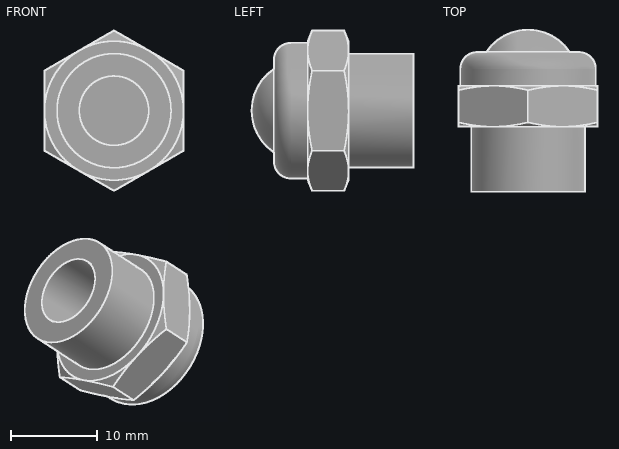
import cadquery as cq
import math

total_length = 18.68
spigot_diameter = 13.15
bore_diameter = 8.0
hex_across_flats = 16.0
hex_start = 7.5
hex_end = 12.2
hex_corner_drop = 0.5
cap_diameter = 15.65
cap_end = 16.1
cap_edge_radius = 1.98
dome_radius = 5.77
bore_depth = hex_start

hex_corner_radius = hex_across_flats / math.sqrt(3)


def cylinder(diameter, start, end):
    """Solid cylinder along +Y between two axial positions."""
    plane = cq.Workplane("XZ", origin=(0, start, 0))
    return plane.circle(diameter / 2).extrude(start - end)


def chamfered_hex():
    """Hex with corners on Z, its ends turned down to the across-flats circle."""
    prism = (
        cq.Workplane("XZ", origin=(0, hex_start, 0))
        .polygon(6, 2 * hex_corner_radius)
        .extrude(hex_start - hex_end)
        .rotate((0, 0, 0), (0, 1, 0), 30)
    )
    flat_radius = hex_across_flats / 2
    turning_envelope = (
        cq.Workplane("XY")
        .moveTo(0, hex_start)
        .lineTo(flat_radius, hex_start)
        .lineTo(hex_corner_radius, hex_start + hex_corner_drop)
        .lineTo(hex_corner_radius, hex_end - hex_corner_drop)
        .lineTo(flat_radius, hex_end)
        .lineTo(0, hex_end)
        .close()
        .revolve(360, (0, 0, 0), (0, 1, 0))
    )
    return prism.intersect(turning_envelope)


def rounded_cap():
    """Round cap with a large rounded outer edge."""
    return cylinder(cap_diameter, hex_end, cap_end).faces(">Y").edges().fillet(cap_edge_radius)


def dome():
    """Ball whose crown stands out of the cap."""
    return cq.Workplane("XY").sphere(dome_radius).translate((0, total_length - dome_radius, 0))


spigot = cylinder(spigot_diameter, 0, hex_start)
bore = cylinder(bore_diameter, 0, bore_depth)

result = spigot.union(chamfered_hex()).union(rounded_cap()).union(dome()).cut(bore)